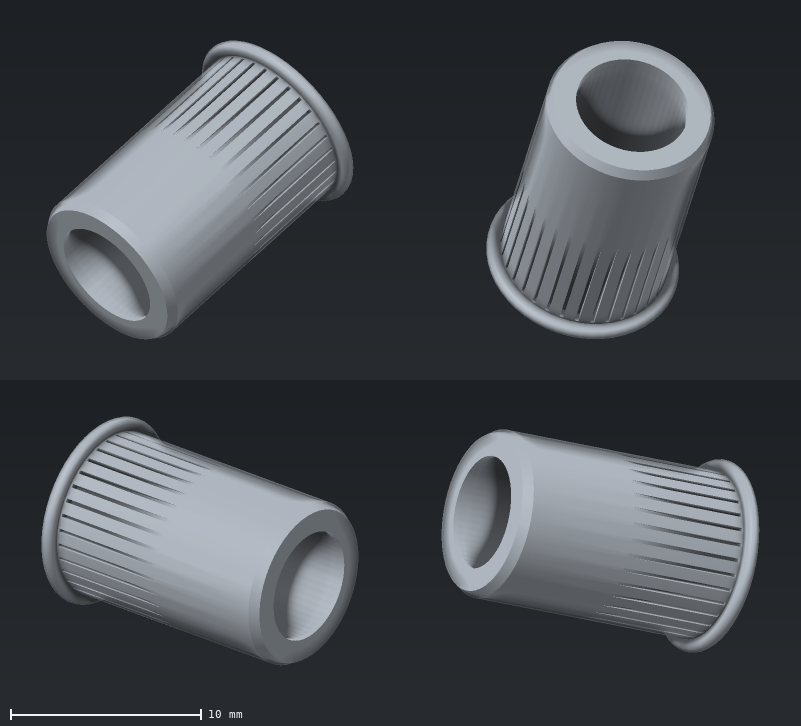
import cadquery as cq

length = 14.0
body_radius = 9.0 / 2
bore_radius = 6.0 / 2

flange_radius = 10.3 / 2
flange_thickness = 0.7
rim_radius = flange_thickness / 2

lead_in_length = 0.5
lead_in_depth = 0.3

groove_count = 34
groove_width = 0.2
groove_start = 0.81
groove_end = 7.35
groove_depth = 0.5
groove_overcut = 0.14


def make_sleeve():
    """Revolve the wall section: bore, lead-in, body and round-rimmed flange."""
    section = (
        cq.Workplane("XY")
        .moveTo(bore_radius, 0)
        .lineTo(flange_radius - rim_radius, 0)
        .threePointArc(
            (flange_radius, -rim_radius),
            (flange_radius - rim_radius, -flange_thickness),
        )
        .lineTo(body_radius, -flange_thickness)
        .lineTo(body_radius, -length + lead_in_length)
        .lineTo(body_radius - lead_in_depth, -length)
        .lineTo(bore_radius, -length)
        .close()
    )
    return section.revolve(360, (0, 0, 0), (0, 1, 0))


def make_groove_cutter():
    """Wedge on the +X side: deepest near the flange, fading out to the body surface."""
    return (
        cq.Workplane("XY")
        .moveTo(body_radius - groove_depth, -groove_start)
        .lineTo(body_radius + groove_overcut, -groove_start)
        .lineTo(body_radius + groove_overcut, -groove_end)
        .lineTo(body_radius, -groove_end)
        .close()
        .extrude(groove_width / 2, both=True)
    )


def cut_grooves(sleeve):
    """Cut the grooves at an even spacing around the body."""
    cutter = make_groove_cutter()
    pitch_angle = 360 / groove_count
    cutters = [
        cutter.rotate((0, 0, 0), (0, 1, 0), index * pitch_angle).val()
        for index in range(groove_count)
    ]
    return sleeve.cut(cq.Workplane("XY").newObject([cq.Compound.makeCompound(cutters)]))


result = cut_grooves(make_sleeve())